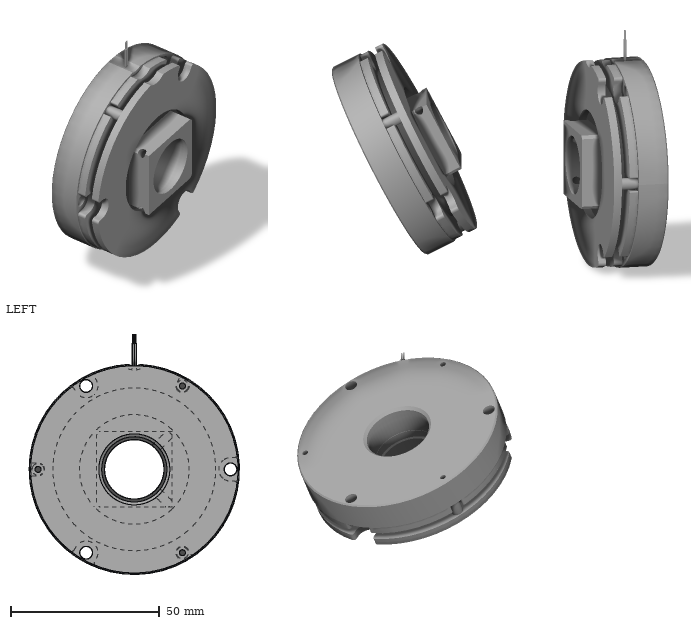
import cadquery as cq
import math


overall_height = 81

housing_end = 10.45
armature_start = 10.6
armature_end = 13.5
flange_start = 16.3
flange_end = 18.95
hub_end = 24.5

housing_radius = 35.5
housing_edge_chamfer = 0.5
housing_bore_diameter = 22.0
bore_chamfer = 1.0
mounting_hole_diameter = 4.2
screw_hole_diameter = 2.0

pitch_radius = 32.5
sleeve_angles = (0, 120, 240)
mounting_angles = (60, 180, 300)

plate_radius = 35.0
flange_bore_diameter = 37.0
mounting_slot_radius = 4.0
mounting_slot_rounding = 1.0
sleeve_slot_radius = 2.2
sleeve_slot_rounding = 0.5

sleeve_diameter = 4.0

rotor_diameter = 55.0
hub_side = 25.4
hub_corner_chamfer = 1.05
hub_bore_diameter = 20.0
set_screw_diameter = 3.0
set_screw_x = 21.3
set_screw_angles = (135, 225)

passage_center_z = 39.5
housing_groove_radius = 4.6
plate_notch_radius = 6.0

wire_diameter = 0.76
core_diameter = 0.5
wire_x = 6.3
wire_start_z = 34.0
wire_insulation_end_z = 42.45
wire_top_z = overall_height - housing_radius
wire_offsets = (-wire_diameter / 2, wire_diameter / 2)


def cylinder_x(diameter, x_start, x_end, y=0.0, z=0.0):
    """Cylinder along X between two positions, with its axis at (y, z)."""
    circle = cq.Workplane("YZ", origin=(x_start, 0, 0)).center(y, z).circle(diameter / 2)
    return circle.extrude(x_end - x_start)


def on_pitch_circle(angle):
    """The (y, z) position on the pitch circle at an angle in degrees."""
    turn = math.radians(angle)
    return pitch_radius * math.cos(turn), pitch_radius * math.sin(turn)


def edge_slot(slot_radius, rounding, angle, x_start, x_end):
    """Cutter for a U slot centred on the pitch circle whose mouth is rounded into the plate rim."""
    rounding_offset = slot_radius + rounding
    rounding_center_r = math.sqrt((plate_radius - rounding) ** 2 - rounding_offset ** 2)
    rim_scale = plate_radius / (plate_radius - rounding)
    rim_r = rounding_center_r * rim_scale
    rim_offset = rounding_offset * rim_scale
    rim_direction = math.atan2(rounding_offset, rounding_center_r)
    middle_direction = (-math.pi / 2 + rim_direction) / 2
    middle_r = rounding_center_r + rounding * math.cos(middle_direction)
    middle_offset = rounding_offset + rounding * math.sin(middle_direction)
    outside_r = plate_radius + rounding
    profile = (
        cq.Workplane("YZ", origin=(x_start, 0, 0))
        .moveTo(pitch_radius, slot_radius)
        .lineTo(rounding_center_r, slot_radius)
        .threePointArc((middle_r, middle_offset), (rim_r, rim_offset))
        .lineTo(outside_r, rim_offset)
        .lineTo(outside_r, -rim_offset)
        .lineTo(rim_r, -rim_offset)
        .threePointArc((middle_r, -middle_offset), (rounding_center_r, -slot_radius))
        .lineTo(pitch_radius, -slot_radius)
        .threePointArc((pitch_radius - slot_radius, 0), (pitch_radius, slot_radius))
        .close()
    )
    return profile.extrude(x_end - x_start).rotate((0, 0, 0), (1, 0, 0), angle)


def slotted_plate(x_start, x_end, bore_diameter):
    """Ring plate with a slot at each mounting hole and the wire notch at the top."""
    plate = cylinder_x(2 * plate_radius, x_start, x_end)
    plate = plate.cut(cylinder_x(bore_diameter, x_start, x_end))
    for angle in mounting_angles:
        plate = plate.cut(edge_slot(mounting_slot_radius, mounting_slot_rounding, angle, x_start, x_end))
    return plate.cut(cylinder_x(2 * plate_notch_radius, x_start, x_end, z=passage_center_z))


def make_wire(y):
    """Insulated lead wire with a thinner bare core at its upper end."""
    base = cq.Workplane("XY", origin=(wire_x, y, wire_start_z))
    insulation = base.circle(wire_diameter / 2).extrude(wire_insulation_end_z - wire_start_z)
    core = base.circle(core_diameter / 2).extrude(wire_top_z - wire_start_z)
    return insulation.union(core)


def make_housing(wires):
    """Magnet housing with its bore, mounting holes, screw holes, wire groove and wire seats."""
    body = cylinder_x(2 * housing_radius, 0, housing_end)
    body = body.faces("<X").edges().chamfer(housing_edge_chamfer)
    body = body.cut(cylinder_x(housing_bore_diameter, 0, housing_end))
    body = body.faces("<X").edges(cq.selectors.RadiusNthSelector(0)).chamfer(bore_chamfer)
    for angle in mounting_angles:
        body = body.cut(cylinder_x(mounting_hole_diameter, 0, housing_end, *on_pitch_circle(angle)))
    for angle in sleeve_angles:
        body = body.cut(cylinder_x(screw_hole_diameter, 0, housing_end, *on_pitch_circle(angle)))
    body = body.cut(cylinder_x(2 * housing_groove_radius, 0, housing_end, z=passage_center_z))
    for wire in wires:
        body = body.cut(wire)
    return body


def make_armature():
    """Armature plate, slotted at the rim to clear the sleeves."""
    plate = slotted_plate(armature_start, armature_end, housing_bore_diameter)
    for angle in sleeve_angles:
        plate = plate.cut(
            edge_slot(sleeve_slot_radius, sleeve_slot_rounding, angle, armature_start, armature_end)
        )
    return plate


def make_flange():
    """Flange plate whose bore clears the hub corners."""
    return slotted_plate(flange_start, flange_end, flange_bore_diameter)


def make_sleeve(angle):
    """Spacer sleeve from the housing to the flange plate."""
    return cylinder_x(sleeve_diameter, housing_end, flange_start, *on_pitch_circle(angle))


def square_hub(x_start, x_end, chamfered_corners):
    """Length of the square hub, with a chamfer on the long edges that the selector picks."""
    square = cq.Workplane("YZ", origin=(x_start, 0, 0)).rect(hub_side, hub_side)
    return square.extrude(x_end - x_start).edges(chamfered_corners).chamfer(hub_corner_chamfer)


def set_screw_hole(angle):
    """Radial hole from the bore through a hub corner."""
    hole = cq.Workplane("XZ", origin=(set_screw_x, 0, 0)).circle(set_screw_diameter / 2).extrude(-hub_side)
    return hole.rotate((0, 0, 0), (1, 0, 0), angle)


def make_rotor():
    """Friction disc with its hub; the -Y corners are sharp beyond their set screw holes."""
    disc = cylinder_x(rotor_diameter, armature_end, flange_start)
    inner_hub = square_hub(armature_end, set_screw_x, "|X")
    outer_hub = square_hub(set_screw_x, hub_end, "|X and >Y")
    body = disc.union(inner_hub).union(outer_hub)
    for angle in set_screw_angles:
        body = body.cut(set_screw_hole(angle))
    return body.cut(cylinder_x(hub_bore_diameter, armature_end, hub_end))


wires = [make_wire(y) for y in wire_offsets]
housing = make_housing(wires)
armature = make_armature()
rotor = make_rotor()
flange = make_flange()
sleeves = [make_sleeve(angle) for angle in sleeve_angles]

result = cq.Compound.makeCompound(
    [
        housing.val(),
        armature.val(),
        rotor.val(),
        flange.val(),
        *[sleeve.val() for sleeve in sleeves],
        *[wire.val() for wire in wires],
    ]
)